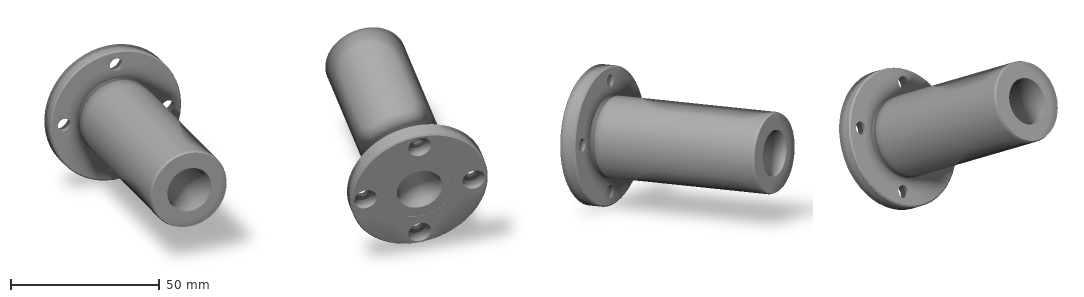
import cadquery as cq

total_length = 70.0
flange_diameter = 48.0
flange_thickness = 5.95
flange_chamfer = 0.5
body_diameter = 28.0
bore_diameter = 16.0

groove_width = 1.8
groove_depth = 0.35

bevel_length = 0.9
bevel_depth = 0.35

seat_diameter = 23.5
seat_depth = 0.1

hole_count = 4
bolt_circle_diameter = 38.0
hole_diameter = 4.5
counterbore_diameter = 8.0
counterbore_depth = 4.4


def make_flange():
    disc = cq.Workplane("YZ").circle(flange_diameter / 2).extrude(flange_thickness)
    return disc.edges().chamfer(flange_chamfer)


def make_body():
    """Revolve the sleeve profile, drawn as (axial, radial) points, about X."""
    radius = body_diameter / 2
    groove_end = flange_thickness + groove_width
    groove_middle = flange_thickness + groove_width / 2
    profile = (
        cq.Workplane("XY")
        .moveTo(flange_thickness / 2, 0)
        .lineTo(flange_thickness / 2, radius)
        .lineTo(flange_thickness, radius)
        .threePointArc((groove_middle, radius - groove_depth), (groove_end, radius))
        .lineTo(total_length - bevel_length, radius)
        .lineTo(total_length, radius - bevel_depth)
        .lineTo(total_length, 0)
        .close()
    )
    return profile.revolve(360, (0, 0, 0), (1, 0, 0))


def cut_bore(part):
    """Through bore with a shallow round seat sunk into the flange face."""
    bore = cq.Workplane("YZ").circle(bore_diameter / 2).extrude(total_length)
    seat = cq.Workplane("YZ").circle(seat_diameter / 2).extrude(seat_depth)
    return part.cut(bore).cut(seat)


def cut_mounting_holes(part):
    """Through holes counterbored from the flange face at X = 0."""
    pattern = cq.Workplane("YZ").polarArray(bolt_circle_diameter / 2, 0, 360, hole_count)
    holes = pattern.circle(hole_diameter / 2).extrude(flange_thickness)
    counterbores = pattern.circle(counterbore_diameter / 2).extrude(counterbore_depth)
    return part.cut(holes).cut(counterbores)


result = make_flange().union(make_body())
result = cut_bore(result)
result = cut_mounting_holes(result)